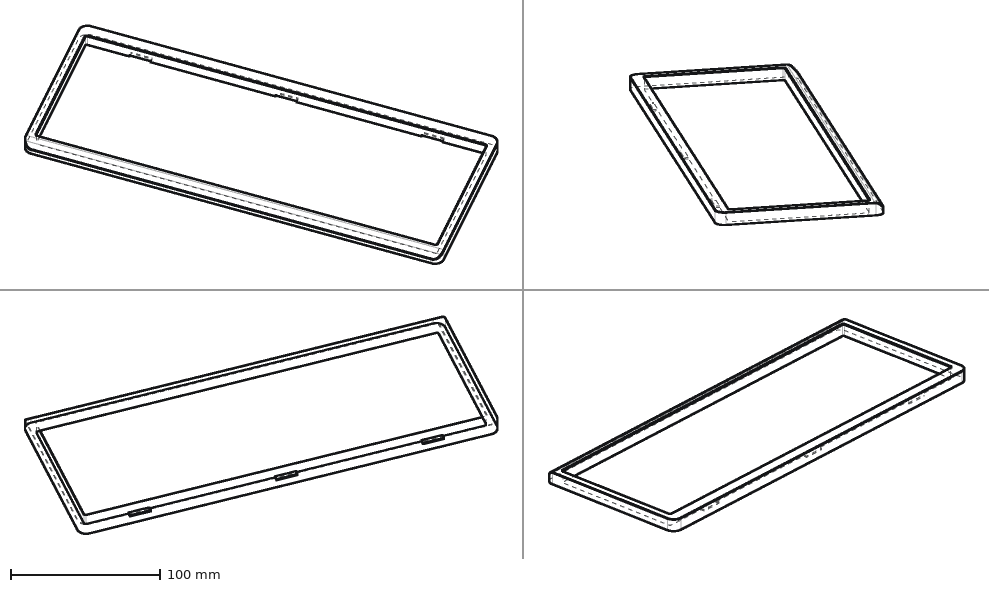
import cadquery as cq
import math

LENGTH = 299.4
WIDTH = 115.25
HEIGHT = 9.0
OUTER_CORNER_RADIUS = 6.35

SIDE_BAR_WIDTH = 6.35
LONG_BAR_WIDTH = 9.5
OPENING_CORNER_RADIUS = 1.04

FRONT_FACE_HEIGHT = 4.2
SLOPE_ANGLE = math.radians(45)
BLEND_RADIUS = 5.0

OUTER_BEVEL = 0.3
OPENING_BEVEL = 0.5

NOTCH_COUNT = 3
NOTCH_PITCH = 104.5
NOTCH_LENGTH = 15.0
NOTCH_HEIGHT = 1.0
NOTCH_DEPTH = 3.0


def rounded_block(length, width, corner_radius):
    """Full-height block centred on the frame axis with rounded vertical edges."""
    block = cq.Workplane("XY").box(length, width, HEIGHT, centered=(True, True, False))
    return block.edges("|Z").fillet(corner_radius)


def front_edge_waste():
    """Material above the sloped front edge and its round blend into the top face."""
    front_y = -WIDTH / 2
    slope_depth = (HEIGHT - FRONT_FACE_HEIGHT) / math.tan(SLOPE_ANGLE)
    slope_top_y = front_y + slope_depth
    tangent_length = BLEND_RADIUS * math.tan(SLOPE_ANGLE / 2)
    blend_rear_y = slope_top_y + tangent_length
    blend_front_y = slope_top_y - tangent_length * math.cos(SLOPE_ANGLE)
    blend_front_z = HEIGHT - tangent_length * math.sin(SLOPE_ANGLE)
    blend_mid_y = blend_rear_y - BLEND_RADIUS * math.sin(SLOPE_ANGLE / 2)
    blend_mid_z = HEIGHT - BLEND_RADIUS * (1 - math.cos(SLOPE_ANGLE / 2))
    return (
        cq.Workplane("YZ")
        .moveTo(front_y, FRONT_FACE_HEIGHT)
        .lineTo(blend_front_y, blend_front_z)
        .threePointArc((blend_mid_y, blend_mid_z), (blend_rear_y, HEIGHT))
        .lineTo(front_y, HEIGHT)
        .close()
        .extrude(LENGTH / 2, both=True)
    )


def bevelled_body():
    """Solid outer body with the front slope and a bevel around the whole upper rim."""
    body = rounded_block(LENGTH, WIDTH, OUTER_CORNER_RADIUS).cut(front_edge_waste())
    return body.faces(">Z").edges("not(<Y)").chamfer(OUTER_BEVEL)


def bevelled_opening():
    """Through opening, widened by a bevel at the top face."""
    opening_length = LENGTH - 2 * SIDE_BAR_WIDTH
    opening_width = WIDTH - 2 * LONG_BAR_WIDTH
    opening = rounded_block(opening_length, opening_width, OPENING_CORNER_RADIUS)
    rim = rounded_block(
        opening_length + 2 * OPENING_BEVEL,
        opening_width + 2 * OPENING_BEVEL,
        OPENING_CORNER_RADIUS + OPENING_BEVEL,
    )
    bevel = rim.faces("<Z").chamfer(OPENING_BEVEL)
    return opening.union(bevel.translate((0, 0, HEIGHT - OPENING_BEVEL)))


def rear_notches():
    """Evenly spaced shallow notches in the underside of the rear bar."""
    wall_y = WIDTH / 2 - LONG_BAR_WIDTH
    row = cq.Workplane("XY").center(0, wall_y).rarray(NOTCH_PITCH, 1, NOTCH_COUNT, 1)
    return row.rect(NOTCH_LENGTH, 2 * NOTCH_DEPTH).extrude(NOTCH_HEIGHT)


result = bevelled_body().cut(bevelled_opening()).cut(rear_notches())